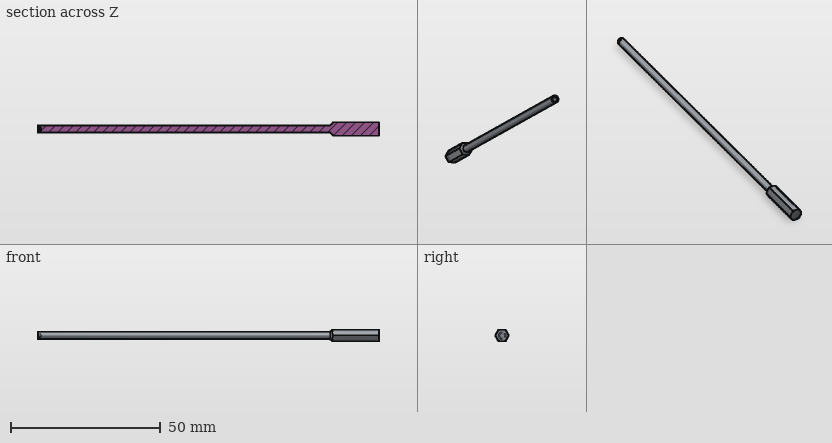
import cadquery as cq
import math

total_length = 114.0

hex_flats = 4.0
hex_corner_radius = hex_flats / 2 / math.cos(math.radians(30))

end_chamfer = 0.25

shaft_diameter = 2.5
shaft_radius = shaft_diameter / 2

neck_end = 98.7
neck_angle = 45.0

hole_diameter = 1.7
hole_depth = 0.6
drill_point_angle = 118.0


def revolve_about_x(profile):
    """Close a profile drawn in the XZ plane and turn it about the X axis."""
    return profile.close().revolve(360, (0, 0, 0), (1, 0, 0))


def make_turned_body():
    """Round envelope: shaft, conical neck up to the shank, chamfered free end."""
    neck_length = (hex_corner_radius - shaft_radius) / math.tan(math.radians(neck_angle))
    profile = (
        cq.Workplane("XZ")
        .lineTo(0, shaft_radius)
        .lineTo(neck_end - neck_length, shaft_radius)
        .lineTo(neck_end, hex_corner_radius)
        .lineTo(total_length - end_chamfer, hex_corner_radius)
        .lineTo(total_length, hex_corner_radius - end_chamfer)
        .lineTo(total_length, 0)
    )
    return revolve_about_x(profile)


def make_hex_bar():
    """Full-length hexagonal bar that limits the shank and the neck."""
    return cq.Workplane("YZ").polygon(6, 2 * hex_corner_radius).extrude(total_length)


def make_tip_hole():
    """Shallow blind hole with a conical bottom."""
    hole_radius = hole_diameter / 2
    point_length = hole_radius / math.tan(math.radians(drill_point_angle / 2))
    profile = (
        cq.Workplane("XZ")
        .lineTo(0, hole_radius)
        .lineTo(hole_depth, hole_radius)
        .lineTo(hole_depth + point_length, 0)
    )
    return revolve_about_x(profile)


result = make_turned_body().intersect(make_hex_bar()).cut(make_tip_hole())